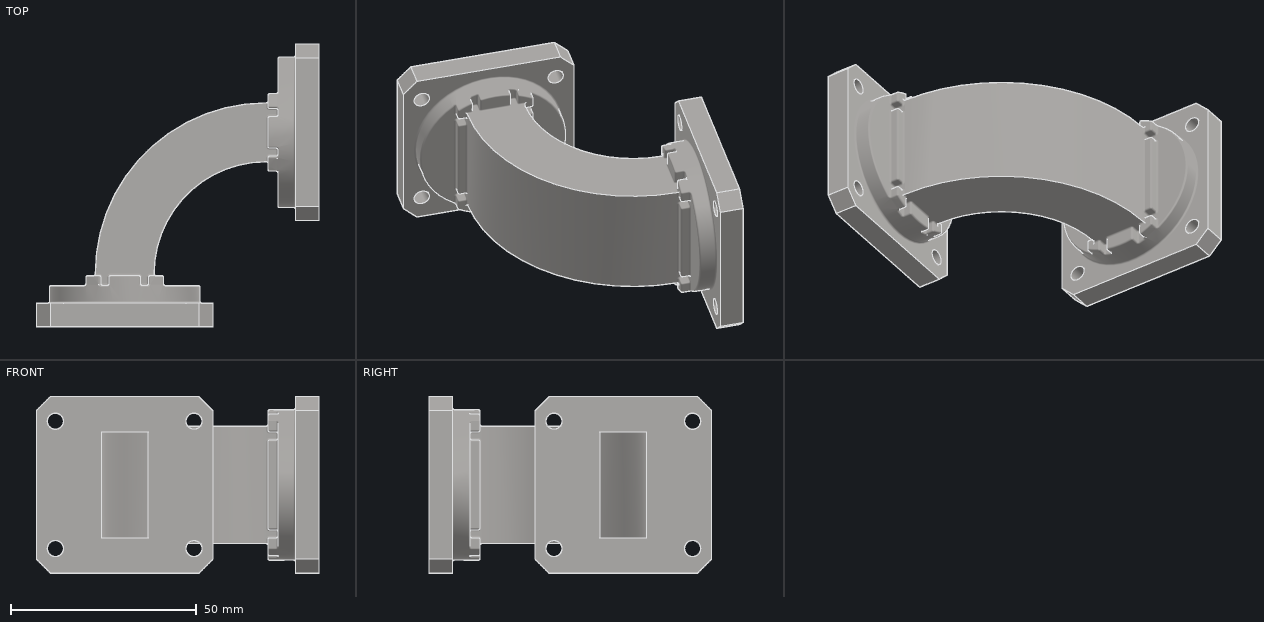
import cadquery as cq

overall = 76.2

flange_side = 47.6
flange_thickness = 6.4
corner_chamfer = 3.8
bolt_diameter = 4.3
bolt_spacing_in_bend_plane = 37.3
bolt_spacing_across = 34.3

bore_width = 12.6
bore_height = 28.5
tube_width = 15.9
tube_height = 31.7

hub_diameter = 40.6
hub_height = 4.7
collar_width = 20.95
collar_height = 7.4
slot_width = 2.1
slot_offset_in_bend_plane = 5.3
slot_offset_across = 13.2
fillet_radius = 0.495
straight_above_collar = 0.5

hub_top = flange_thickness + hub_height
collar_top = flange_thickness + collar_height
bend_start = collar_top + straight_above_collar
level_tolerance = 0.01

outer_face = overall / 2
flange_centre = outer_face - flange_side / 2
bend_centre = outer_face - bend_start
bend_radius = flange_centre + bend_centre


def block(width, height, bottom, top):
    """Centred rectangular block between two levels above the flange face."""
    return (
        cq.Workplane("XY")
        .workplane(offset=bottom)
        .rect(width, height)
        .extrude(top - bottom)
    )


def make_flange():
    return block(flange_side, flange_side, 0, flange_thickness).edges("|Z").chamfer(corner_chamfer)


def make_hub():
    """Round hub; the collar rises from it as a band cut by two crossing pairs of slots."""
    hub = cq.Workplane("XY").circle(hub_diameter / 2).extrude(hub_top)
    collar = (
        cq.Workplane("XY")
        .circle(hub_diameter / 2)
        .extrude(collar_top)
        .intersect(block(collar_width, hub_diameter, 0, collar_top))
    )
    for side in (-1, 1):
        upright_slot = block(slot_width, hub_diameter, hub_top, collar_top)
        level_slot = block(hub_diameter, slot_width, hub_top, collar_top)
        collar = collar.cut(upright_slot.translate((side * slot_offset_in_bend_plane, 0, 0)))
        collar = collar.cut(level_slot.translate((0, side * slot_offset_across, 0)))
    return hub.union(collar)


def is_rounded(edge):
    """True for the hub's root circle and for every edge of the slotted collar."""
    box = edge.BoundingBox()
    at_root = abs(box.zmax - flange_thickness) < level_tolerance
    round_root = at_root and edge.geomType() == "CIRCLE"
    on_collar = box.zmin > hub_top - level_tolerance and box.zmax < collar_top + level_tolerance
    return round_root or on_collar


def make_end():
    """One flanged end, standing on the XY plane with the tube pointing along +Z."""
    stub = block(tube_width, tube_height, 0, bend_start)
    end = make_flange().union(make_hub()).union(stub)
    rounded_edges = [edge for edge in end.edges().vals() if is_rounded(edge)]
    end = end.newObject(rounded_edges).fillet(fillet_radius)
    bolt_holes = (
        cq.Workplane("XY")
        .rarray(bolt_spacing_in_bend_plane, bolt_spacing_across, 2, 2)
        .circle(bolt_diameter / 2)
        .extrude(flange_thickness)
    )
    return end.cut(bolt_holes).cut(block(bore_width, bore_height, 0, bend_start))


def make_bend():
    """Quarter-turn tube joining the two stubs."""
    return (
        cq.Workplane("XZ", origin=(-flange_centre, -bend_centre, 0))
        .rect(tube_width, tube_height)
        .rect(bore_width, bore_height)
        .revolve(90, (bend_radius, 0, 0), (bend_radius, -1, 0))
    )


end = make_end().val()
front_plane = cq.Plane((-flange_centre, -outer_face, 0), (1, 0, 0), (0, 1, 0))
side_plane = cq.Plane((outer_face, flange_centre, 0), (0, 1, 0), (-1, 0, 0))

result = make_bend()
for plane in (front_plane, side_plane):
    result = result.union(cq.Workplane(end.moved(plane.location)))